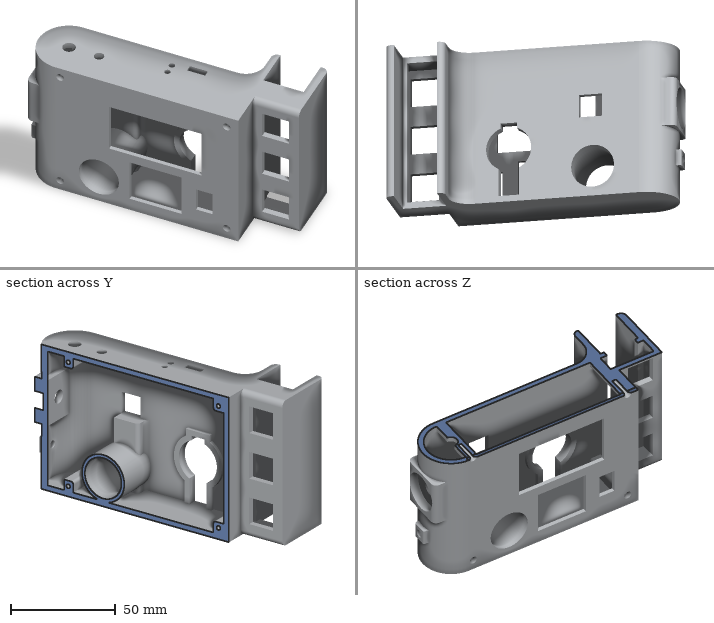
import cadquery as cq
import math

height = 76.0
barrel_radius = 16.0
wall = 3.0
body_end_x = 95.8
cover_thickness = 2.1

inner_radius = barrel_radius - wall
ceiling_z = height - wall
cover_back_y = cover_thickness - barrel_radius
rear_wall_y = barrel_radius - wall
cavity_end_x = body_end_x - wall

fork_end_x = 119.9
fork_front_y = 1.0
fork_tip_y = 36.0
left_arm_x = 91.0
slot_start_x = 94.5
slot_end_x = 115.6
arm_tip_round = 3.0
arm_root_round = 10.0
fork_edge_round = 3.0
key_size = 14.0
key_center_x = 107.6
key_pitch = 23.9
slot_floor_rim = 2.0

pad_size = 24.0
pad_face_x = -17.1
pad_center_z = 46.1
pad_round = 3.0
pad_recess_diameter = 20.0
pad_recess_depth = 4.8
pad_bore_diameter = 7.0
small_pad_size = 8.0
small_pad_face_x = -18.1
small_pad_center_z = 20.1
small_pad_round = 1.0
small_pad_bore_diameter = 4.0

horn_x = 22.8
horn_z = 14.9
horn_diameter = 21.0
horn_wall = 2.0

keyhole_x = 63.9
keyhole_z = 26.5
keyhole_radius = 11.0
keyhole_notch_half_width = 4.0
keyhole_notch_top_z = 39.3
keyhole_slot_half_width = 5.0
rim_width = 2.9
rim_height = 2.0

port_right_x = 29.4
port_size = 11.2
port_bottom_z = 39.7
step_flat_end_x = 30.2
step_round = 2.1
step_straight = 2.1

top_hole_diameter = 6.5
side_hole_diameter = 5.0
side_hole_x = 15.7
led_diameter = 3.0
led_x = 50.2
led_centers_y = (2.9, 8.0)
top_slot_start_x = 58.4
top_slot_length = 9.4
top_slot_start_y = 7.7
top_slot_width = 3.3

left_screw_x = 2.5
left_screw_margin = 5.5
right_screw_x = 89.7
right_screw_margin = 6.1
screw_head_diameter = 4.0
screw_pilot_diameter = 2.0
screw_head_depth = (screw_head_diameter - screw_pilot_diameter) / 2
screw_pilot_depth = 10.0
boss_reach = 3.0
boss_round = 1.5

display_window = (28.2, 76.5, 34.8, 61.0)
panel_window = (38.9, 66.1, 6.9, 29.8)
switch_window = (73.7, 82.2, 12.4, 25.0)

screws = [
    (left_screw_x, left_screw_margin),
    (left_screw_x, height - left_screw_margin),
    (right_screw_x, right_screw_margin),
    (right_screw_x, height - right_screw_margin),
]
diagonal = math.sqrt(0.5)


def block(x0, x1, y0, y1, z0, z1):
    """Box given by its limits along each axis."""
    return cq.Workplane("XY").box(x1 - x0, y1 - y0, z1 - z0, centered=False).translate((x0, y0, z0))


def rod_z(x, y, diameter, z0, z1):
    """Cylinder along Z."""
    return cq.Workplane("XY", origin=(x, y, z0)).circle(diameter / 2).extrude(z1 - z0)


def rod_y(x, z, diameter, y0, y1):
    """Cylinder along Y."""
    return cq.Workplane("XZ", origin=(x, y0, z)).circle(diameter / 2).extrude(y0 - y1)


def rod_x(z, diameter, x0, x1):
    """Cylinder along X in the middle plane of the barrel."""
    return cq.Workplane("YZ", origin=(x0, 0, z)).circle(diameter / 2).extrude(x1 - x0)


def outer_shell():
    """Solid outline of barrel, main body and two-armed fork."""
    root_y = barrel_radius + arm_root_round
    root_mid = arm_root_round * (1 - diagonal)
    tip_mid = arm_tip_round * (1 - diagonal)
    tip_low_y = fork_tip_y - arm_tip_round
    shell = (
        cq.Workplane("XY")
        .moveTo(0, -barrel_radius)
        .threePointArc((-barrel_radius, 0), (0, barrel_radius))
        .lineTo(left_arm_x - arm_root_round, barrel_radius)
        .threePointArc((left_arm_x - root_mid, barrel_radius + root_mid), (left_arm_x, root_y))
        .lineTo(left_arm_x, tip_low_y)
        .threePointArc((left_arm_x + tip_mid, fork_tip_y - tip_mid), (left_arm_x + arm_tip_round, fork_tip_y))
        .lineTo(slot_start_x, fork_tip_y)
        .lineTo(slot_start_x, barrel_radius)
        .lineTo(slot_end_x, barrel_radius)
        .lineTo(slot_end_x, fork_tip_y)
        .lineTo(fork_end_x - arm_tip_round, fork_tip_y)
        .threePointArc((fork_end_x - tip_mid, fork_tip_y - tip_mid), (fork_end_x, tip_low_y))
        .lineTo(fork_end_x, fork_front_y)
        .lineTo(body_end_x, fork_front_y)
        .lineTo(body_end_x, -barrel_radius)
        .close()
        .extrude(height)
    )
    fork_middle = (body_end_x + fork_end_x) / 2
    for z in (0, height):
        edge = cq.selectors.NearestToPointSelector((fork_middle, fork_front_y, z))
        shell = shell.edges(edge).fillet(fork_edge_round)
    return shell


def main_cavity():
    """Hollow of barrel and main body, open at the front where the cover sits."""
    room = block(0, cavity_end_x, -barrel_radius, rear_wall_y, wall, ceiling_z)
    barrel_room = rod_z(0, 0, 2 * inner_radius, wall, ceiling_z)
    cover_seat = block(0, body_end_x, -barrel_radius, cover_back_y, 0, height)
    return room.union(barrel_room).union(cover_seat)


def fork_cavity():
    """Hollow behind the key openings, open into the main cavity and into the slot of the fork."""
    room = block(cavity_end_x, fork_end_x - wall, fork_front_y + wall, rear_wall_y, wall, ceiling_z)
    slot_floor = block(
        slot_start_x + slot_floor_rim, slot_end_x - slot_floor_rim,
        rear_wall_y, barrel_radius, wall, ceiling_z,
    )
    return room.union(slot_floor)


def key_openings():
    """Three square openings in the front wall of the fork."""
    depth = 2 * wall
    openings = cq.Workplane("XY")
    for step in (-1, 0, 1):
        key = cq.Workplane("XY").box(key_size, depth, key_size)
        openings = openings.add(key.translate((key_center_x, fork_front_y, height / 2 + step * key_pitch)))
    return openings.combine()


def barrel_pad(face_x, size, center_z, corner):
    """Square pad on the barrel with rounded front corners and sides blended into the barrel."""
    half = size / 2
    blend_y = half + corner
    blend_x = -math.sqrt((barrel_radius + corner) ** 2 - blend_y ** 2)
    to_barrel = barrel_radius / (barrel_radius + corner)
    foot_x, foot_y = blend_x * to_barrel, blend_y * to_barrel
    foot_angle = math.atan2(foot_y - blend_y, foot_x - blend_x)
    mid_angle = (foot_angle - math.pi / 2) / 2
    mid_x = blend_x + corner * math.cos(mid_angle)
    mid_y = blend_y + corner * math.sin(mid_angle)
    inset = corner * (1 - diagonal)
    return (
        cq.Workplane("XY", origin=(0, 0, center_z - half))
        .moveTo(foot_x, foot_y)
        .threePointArc((mid_x, mid_y), (blend_x, half))
        .lineTo(face_x + corner, half)
        .threePointArc((face_x + inset, half - inset), (face_x, half - corner))
        .lineTo(face_x, corner - half)
        .threePointArc((face_x + inset, inset - half), (face_x + corner, -half))
        .lineTo(blend_x, -half)
        .threePointArc((mid_x, -mid_y), (foot_x, -foot_y))
        .close()
        .extrude(size)
    )


def barrel_pads():
    """Both pads, with a full wall thickness kept behind the recess of the large one."""
    large = barrel_pad(pad_face_x, pad_size, pad_center_z, pad_round)
    small = barrel_pad(small_pad_face_x, small_pad_size, small_pad_center_z, small_pad_round)
    half = pad_size / 2
    recess_floor_x = pad_face_x + pad_recess_depth
    recess_back = block(
        recess_floor_x, recess_floor_x + wall, -half, half, pad_center_z - half, pad_center_z + half
    )
    return large.union(recess_back).union(small)


def barrel_pad_holes():
    """Round recess with a bore in the large pad, plain bore in the small pad."""
    recess = rod_x(pad_center_z, pad_recess_diameter, pad_face_x, pad_face_x + pad_recess_depth)
    bore = rod_x(pad_center_z, pad_bore_diameter, pad_face_x, 0)
    small_bore = rod_x(small_pad_center_z, small_pad_bore_diameter, small_pad_face_x, 0)
    return recess.union(bore).union(small_bore)


def top_holes():
    """Small openings through the top wall."""
    holes = rod_z(side_hole_x, 0, side_hole_diameter, ceiling_z, height)
    for y in led_centers_y:
        holes = holes.union(rod_z(led_x, y, led_diameter, ceiling_z, height))
    slot = block(
        top_slot_start_x, top_slot_start_x + top_slot_length,
        top_slot_start_y, top_slot_start_y + top_slot_width, ceiling_z, height,
    )
    return holes.union(slot)


def keyhole(margin, y0, y1):
    """Round opening with a notch above and a slot down to the floor, widened by a margin."""
    notch_half = keyhole_notch_half_width + margin
    slot_half = keyhole_slot_half_width + margin
    disc = rod_y(keyhole_x, keyhole_z, 2 * (keyhole_radius + margin), y0, y1)
    notch = block(
        keyhole_x - notch_half, keyhole_x + notch_half, y0, y1, keyhole_z, keyhole_notch_top_z + margin
    )
    slot = block(keyhole_x - slot_half, keyhole_x + slot_half, y0, y1, wall, keyhole_z)
    return disc.union(notch).union(slot)


def step_pad():
    """Pad on the rear wall below the port, with a rounded right edge and a rounded foot."""
    foot_y = rear_wall_y - step_round
    crest_y = foot_y - step_straight
    front_y = crest_y - step_round
    crest_x = step_flat_end_x + step_round
    inset = step_round * (1 - diagonal)
    port_left_x = port_right_x - port_size
    return (
        cq.Workplane("XY", origin=(0, 0, wall))
        .moveTo(port_left_x, rear_wall_y)
        .lineTo(port_left_x, front_y)
        .lineTo(step_flat_end_x, front_y)
        .threePointArc((crest_x - inset, front_y + inset), (crest_x, crest_y))
        .lineTo(crest_x, foot_y)
        .threePointArc((crest_x + inset, rear_wall_y - inset), (crest_x + step_round, rear_wall_y))
        .close()
        .extrude(port_bottom_z - wall)
    )


def screw_boss(x, z):
    """Bar along the body around a screw, filling the corner and rounded towards the cavity."""
    corner_x = 0 if x < body_end_x / 2 else cavity_end_x
    corner_z = wall if z < height / 2 else ceiling_z
    reach_x = x + math.copysign(boss_reach, x - corner_x)
    reach_z = z + math.copysign(boss_reach, z - corner_z)
    bar = block(
        min(corner_x, reach_x), max(corner_x, reach_x), cover_back_y, rear_wall_y,
        min(corner_z, reach_z), max(corner_z, reach_z),
    )
    inner_edge = cq.selectors.NearestToPointSelector((reach_x, (cover_back_y + rear_wall_y) / 2, reach_z))
    return bar.edges("|Y").edges(inner_edge).fillet(boss_round)


def make_housing():
    housing = outer_shell().cut(main_cavity()).cut(fork_cavity()).cut(key_openings())
    housing = housing.union(barrel_pads()).cut(barrel_pad_holes()).cut(top_holes())

    for x, z in screws:
        housing = housing.union(screw_boss(x, z))
    housing = housing.cut(rod_z(0, 0, top_hole_diameter, height / 2, height))
    for x, z in screws:
        pilot = rod_y(x, z, screw_pilot_diameter, cover_back_y, cover_back_y + screw_pilot_depth)
        housing = housing.cut(pilot)

    housing = housing.union(keyhole(rim_width, rear_wall_y - rim_height, rear_wall_y))
    housing = housing.cut(keyhole(0, rear_wall_y - rim_height, barrel_radius))

    port = block(
        port_right_x - port_size, port_right_x, rear_wall_y, barrel_radius,
        port_bottom_z, port_bottom_z + port_size,
    )
    housing = housing.union(step_pad()).cut(port)

    horn_tube = rod_y(horn_x, horn_z, horn_diameter + 2 * horn_wall, cover_back_y, rear_wall_y)
    housing = housing.union(horn_tube)
    return housing.cut(rod_y(horn_x, horn_z, horn_diameter, cover_back_y, barrel_radius))


def screw_hole(x, z):
    """Pilot hole through the cover with a conical countersink at the front."""
    pilot = rod_y(x, z, screw_pilot_diameter, -barrel_radius, cover_back_y)
    countersink = (
        cq.Workplane("XZ", origin=(x, -barrel_radius, z))
        .circle(screw_head_diameter / 2)
        .workplane(offset=-screw_head_depth)
        .circle(screw_pilot_diameter / 2)
        .loft()
    )
    return pilot.union(countersink)


def make_cover():
    cover = block(0, body_end_x, -barrel_radius, cover_back_y, 0, height)
    for x0, x1, z0, z1 in (display_window, panel_window, switch_window):
        cover = cover.cut(block(x0, x1, -barrel_radius, cover_back_y, z0, z1))
    cover = cover.cut(rod_y(horn_x, horn_z, horn_diameter, -barrel_radius, cover_back_y))
    for x, z in screws:
        cover = cover.cut(screw_hole(x, z))
    return cover


housing = make_housing()
cover = make_cover()

result = cq.Compound.makeCompound([*housing.solids().vals(), *cover.solids().vals()])